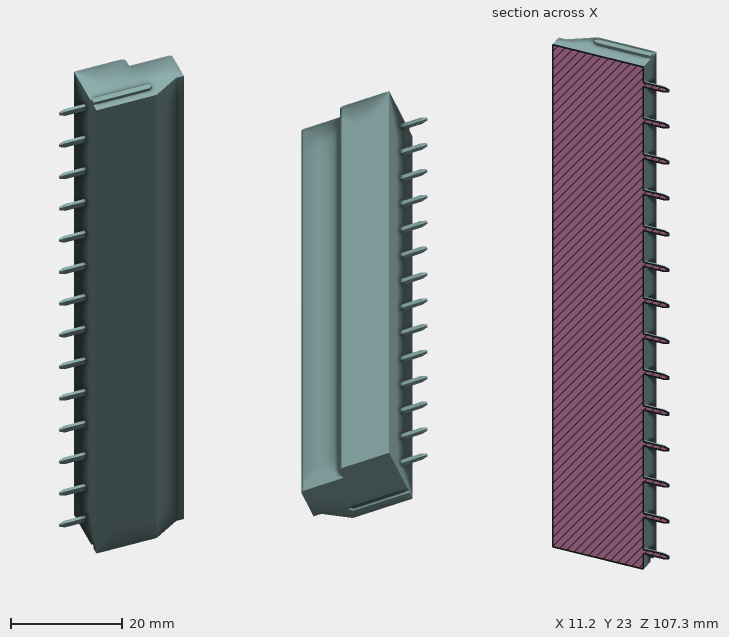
import cadquery as cq

POLES = 14
PITCH = 7.62

WIDTH = 11.2
DEPTH = 18.0
LENGTH = POLES * PITCH

LEDGE_WIDTH = 2.15
LEDGE_Y = 9.8
LEDGE_ROUND = 0.8
BACK_ROUND = 0.5
BACK_RIGHT_X = 8.2
SLOPE_TOP_Y = 16.5
SLOPE_BOTTOM_Y = 11.6

RIB_HEIGHT = 0.6
RIB_X = 9.15
RIB_WIDTH = 1.1
RIB_TIP_Y = 11.5
RIB_SHOULDER_Y = 10.85
GROOVE_DEPTH = RIB_HEIGHT

PIN_X = 5.7
PIN_WIDTH = 0.7
PIN_HEIGHT = 1.0
PIN_LENGTH = 5.0
TIP_LENGTH = 1.0
TIP_SCALE = 0.5
FIRST_PIN_Z = PITCH / 2


def make_housing():
    """Stepped and sloped profile extruded along the pin row."""
    body = (
        cq.Workplane("XY")
        .polyline([
            (0, 0),
            (WIDTH, 0),
            (WIDTH, SLOPE_BOTTOM_Y),
            (BACK_RIGHT_X, SLOPE_TOP_Y),
            (BACK_RIGHT_X, DEPTH),
            (LEDGE_WIDTH, DEPTH),
            (LEDGE_WIDTH, LEDGE_Y),
            (0, LEDGE_Y),
        ])
        .close()
        .extrude(LENGTH)
    )
    body = body.edges(cq.NearestToPointSelector((0, LEDGE_Y, LENGTH / 2))).fillet(LEDGE_ROUND)
    return body.edges(cq.NearestToPointSelector((LEDGE_WIDTH, DEPTH, LENGTH / 2))).fillet(BACK_ROUND)


def make_rib(base_z, height):
    """Strip along Y with a pointed inner end, standing on base_z."""
    half = RIB_WIDTH / 2
    return (
        cq.Workplane("XY", origin=(RIB_X, 0, base_z))
        .moveTo(-half, 0)
        .lineTo(half, 0)
        .lineTo(half, RIB_SHOULDER_Y)
        .lineTo(0, RIB_TIP_Y)
        .lineTo(-half, RIB_SHOULDER_Y)
        .close()
        .extrude(height)
    )


def make_pin(z):
    """Rectangular pin pointing to -Y with a tapered tip."""
    shank_length = PIN_LENGTH - TIP_LENGTH
    shank = (
        cq.Workplane("XZ", origin=(PIN_X, 0, z))
        .rect(PIN_WIDTH, PIN_HEIGHT)
        .extrude(shank_length)
    )
    tip = (
        cq.Workplane("XZ", origin=(PIN_X, -shank_length, z))
        .rect(PIN_WIDTH, PIN_HEIGHT)
        .workplane(offset=TIP_LENGTH)
        .rect(PIN_WIDTH * TIP_SCALE, PIN_HEIGHT * TIP_SCALE)
        .loft()
    )
    return shank.union(tip)


result = make_housing().union(make_rib(LENGTH, RIB_HEIGHT)).cut(make_rib(0, GROOVE_DEPTH))
for pole in range(POLES):
    result = result.union(make_pin(FIRST_PIN_Z + pole * PITCH))